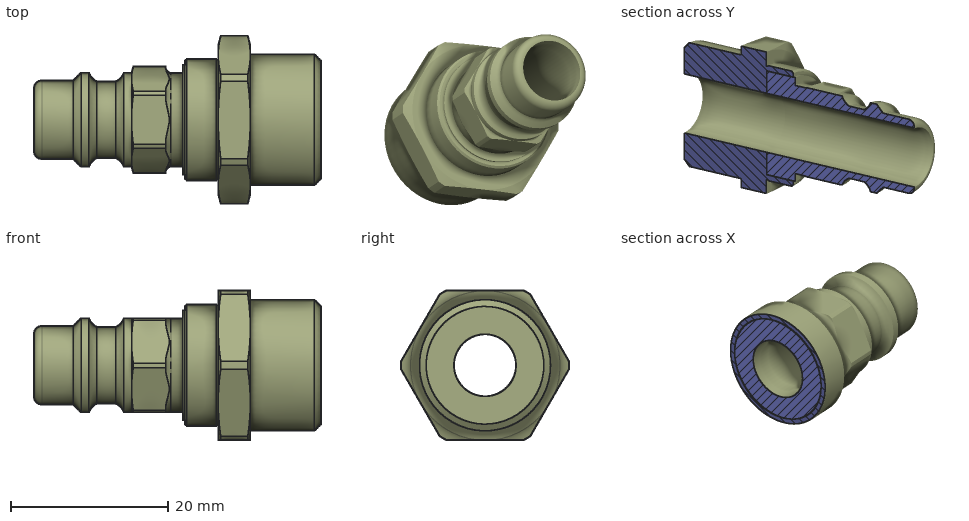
import cadquery as cq
import math

bore_diameter = 7.85
hex_lead_angle = math.radians(15)

nose_radius = 10.0 / 2
nose_round = 1.0
collar_radius = 12.0 / 2
groove_radius = 9.75 / 2
groove_side_round = 2.0
neck_radius = 11.9 / 2
neck_blend_radius = 0.8
tail_radius = 14.0 / 2

nose_end = 5.0
collar_start = nose_end + (collar_radius - nose_radius)
collar_end = 7.0
groove_start = 8.0
groove_end = 10.4
shoulder_start = 11.45
nipple_hex_start = 12.42
nipple_hex_corner_end = 16.73
neck_start = 17.38
tail_start = 18.9

nipple_hex_flats = 2 * collar_radius
nipple_hex_corners = 13.54

sleeve_radius = 15.5 / 2
sleeve_chamfer = 0.25
undercut_radius = 15.3 / 2
spigot_radius = 16.66 / 2
spigot_chamfer = 0.85

housing_start = 19.2
sleeve_end = 23.2
housing_hex_start = 23.42
housing_hex_end = 27.5
housing_end = 36.5

housing_hex_flats = 19.0
housing_hex_corners = 21.4

tail_end = housing_hex_start


def cylinder(radius, start, end):
    """Solid cylinder about the X axis."""
    return cq.Workplane("YZ", origin=(start, 0, 0)).circle(radius).extrude(end - start)


def revolve_about_x(profile):
    """Revolve a closed (x, radius) profile about the X axis."""
    return profile.close().revolve(360, (0, 0, 0), (1, 0, 0))


def hexagon(flats, start, end):
    """Hexagonal prism about X, with flats facing +Z and -Z and corners along Y."""
    across_points = flats / math.cos(math.pi / 6)
    return cq.Workplane("YZ", origin=(start, 0, 0)).polygon(6, across_points).extrude(end - start)


def arc_bulge_point(start, end, radius):
    """Middle point of a short arc bulging toward the X axis, for use with threePointArc."""
    span_x = end[0] - start[0]
    span_r = end[1] - start[1]
    chord = math.hypot(span_x, span_r)
    sagitta = radius - math.sqrt(radius**2 - (chord / 2) ** 2)
    middle_x = (start[0] + end[0]) / 2
    middle_r = (start[1] + end[1]) / 2
    return (middle_x + sagitta * span_r / chord, middle_r - sagitta * span_x / chord)


def make_nipple_front():
    """Turned nose, locking collar, groove and shoulder ahead of the hexagon."""
    groove_front = ((collar_end, collar_radius), (groove_start, groove_radius))
    groove_back = ((groove_end, groove_radius), (shoulder_start, collar_radius))
    round_middle = nose_round * (1 - math.sqrt(0.5))
    profile = (
        cq.Workplane("XY")
        .lineTo(0, nose_radius - nose_round)
        .threePointArc((round_middle, nose_radius - round_middle), (nose_round, nose_radius))
        .lineTo(nose_end, nose_radius)
        .lineTo(collar_start, collar_radius)
        .lineTo(*groove_front[0])
        .threePointArc(arc_bulge_point(*groove_front, groove_side_round), groove_front[1])
        .lineTo(*groove_back[0])
        .threePointArc(arc_bulge_point(*groove_back, groove_side_round), groove_back[1])
        .lineTo(nipple_hex_start, collar_radius)
        .lineTo(nipple_hex_start, 0)
    )
    return revolve_about_x(profile)


def make_nipple_hex():
    """Hexagon trimmed by a turned envelope that blends down onto the neck in a concave arc."""
    corner_radius = nipple_hex_corners / 2
    lead_length = (corner_radius - collar_radius) * math.tan(hex_lead_angle)

    back_blend = ((nipple_hex_corner_end, corner_radius), (neck_start, neck_radius))
    profile = (
        cq.Workplane("XY")
        .moveTo(nipple_hex_start, 0)
        .lineTo(nipple_hex_start, collar_radius)
        .lineTo(nipple_hex_start + lead_length, corner_radius)
        .lineTo(*back_blend[0])
        .threePointArc(arc_bulge_point(*back_blend, neck_blend_radius), back_blend[1])
        .lineTo(tail_start, neck_radius)
        .lineTo(tail_start, 0)
    )
    envelope = revolve_about_x(profile)
    return envelope.intersect(hexagon(nipple_hex_flats, nipple_hex_start, tail_start))


def make_nipple():
    """Plug nipple with its hexagon, neck and tail."""
    tail = cylinder(tail_radius, tail_start, tail_end)
    body = make_nipple_front().union(make_nipple_hex()).union(tail)
    return body.cut(cylinder(bore_diameter / 2, 0, tail_end))


def make_housing_hex():
    """Housing hexagon with trimmed corners and chamfered faces."""
    face_radius = housing_hex_flats / 2
    corner_radius = housing_hex_corners / 2
    lead_length = (corner_radius - face_radius) * math.tan(hex_lead_angle)
    profile = (
        cq.Workplane("XY")
        .moveTo(housing_hex_start, 0)
        .lineTo(housing_hex_start, face_radius)
        .lineTo(housing_hex_start + lead_length, corner_radius)
        .lineTo(housing_hex_end - lead_length, corner_radius)
        .lineTo(housing_hex_end, face_radius)
        .lineTo(housing_hex_end, 0)
    )
    envelope = revolve_about_x(profile)
    return envelope.intersect(hexagon(housing_hex_flats, housing_hex_start, housing_hex_end))


def make_housing():
    """Sleeve, undercut, hexagon and spigot, recessed for the nipple tail."""
    sleeve = cylinder(sleeve_radius, housing_start, sleeve_end).faces("<X").chamfer(sleeve_chamfer)
    undercut = cylinder(undercut_radius, sleeve_end, housing_hex_start)
    spigot = cylinder(spigot_radius, housing_hex_end, housing_end).faces(">X").chamfer(spigot_chamfer)
    body = sleeve.union(undercut).union(make_housing_hex()).union(spigot)
    tail_recess = cylinder(tail_radius, housing_start, tail_end)
    passage = cylinder(bore_diameter / 2, housing_start, housing_end)
    return body.cut(tail_recess).cut(passage)


nipple = make_nipple()
housing = make_housing()

result = cq.Compound.makeCompound([nipple.val(), housing.val()])